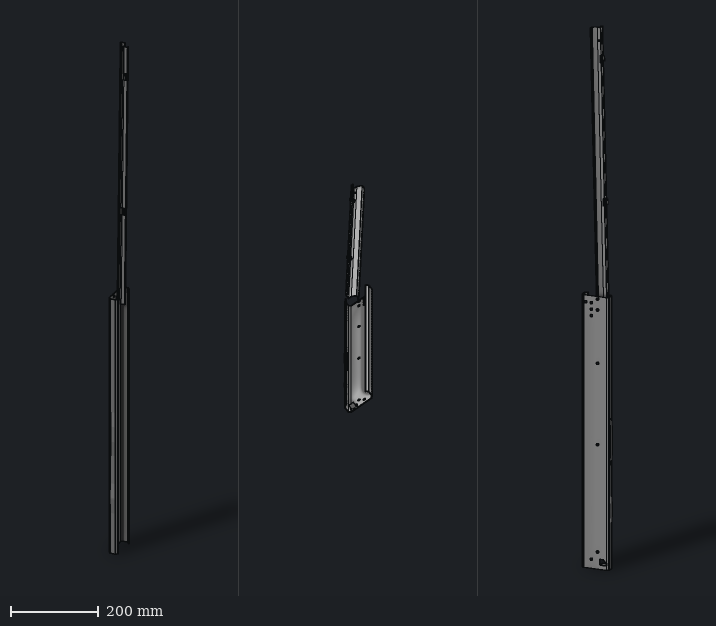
import cadquery as cq
import math

TOTAL_HEIGHT = 1285.0
RAIL_LENGTH = 650.0
SHEET = 1.9

OUTER_DEPTH = 23.0
OVERALL_WIDTH = 71.0
BUMP_RISE = 1.8
HALF_WIDTH = (OVERALL_WIDTH - BUMP_RISE) / 2
CORNER_X = 4.5
CORNER_Y = 5.0
LIP_SLOPE = 5.0
LIP_END_Y = 27.0

SCREW_HOLE = 5.8
HOLE_ROW_Y = -6.0
HOLE_ROW_Z = [644.0, 618.0, 491.0, 297.0, 41.0]
SIDE_ROW_Y = 9.0
SIDE_ROW_Z = [634.0, 618.0, 603.0, 22.0]
EDGE_HOLE_Y = 23.0
EDGE_HOLE_Z = 634.0

WINDOW_Y = -12.0
WINDOW_WIDTH = 18.0
WINDOW_Z = 12.0
WINDOW_HEIGHT = 13.0
WINDOW_CHAMFER = 9.0
TAB_Y = -19.0
TAB_WIDTH = 13.0
TAB_REACH = 14.0

BUMPS = [(8.0, 306.0, 110.0, 39.0), (CORNER_X, 141.0, 76.0, 4.0)]

TILT = 1.4
INNER_LEFT = 8.0
INNER_RIGHT = 35.0
WEB_X = 23.0
FLANGE_Y = -4.0
WEB_TOP = 5.0
WEB_BEND_RADIUS = 6.0
SHELF_TOP = 17.0
SHELF_Y = SHELF_TOP - SHEET
HOOK_CORNER = 1.0
SHELF_RIGHT = 18.0
HOOK_END_Y = 12.2
EDGE_LIP = 5.0

SLOT_DROPS = [76.0, 416.0]
SLOT_LENGTH = 17.0
SLOT_WIDTH = 8.4
LANCE_LENGTH = 12.0
LANCE_THICKNESS = 1.5
LANCE_RISE = 4.0
TIP_HOLE = 4.0
TIP_HOLE_DROP = 32.0


def bent_sheet(path, length):
    """Extrude sheet metal along Z; the sheet lies to the left of the given face path."""
    directions = []
    for (x0, y0), (x1, y1) in zip(path, path[1:]):
        directions.append(math.atan2(y1 - y0, x1 - x0))
    before = directions[:1] + directions
    after = directions + directions[-1:]
    other_face = []
    for (x, y), a, b in zip(path, before, after):
        turn = math.remainder(b - a, math.tau)
        normal = a + turn / 2 + math.pi / 2
        reach = SHEET / math.cos(turn / 2)
        other_face.append((x + reach * math.cos(normal), y + reach * math.sin(normal)))
    return cq.Workplane("XY").polyline(path + other_face[::-1]).close().extrude(length)


def box(x, y, z, dx, dy, dz):
    """Box from its lowest corner and its sizes."""
    return cq.Workplane("XY").box(dx, dy, dz, centered=False).translate((x, y, z))


def web_holes(points, diameter, x_start):
    """Round cutters along X through a web of sheet thickness whose -X face is at x_start."""
    plane = cq.Workplane("YZ", origin=(x_start - SHEET, 0, 0))
    return plane.pushPoints(points).circle(diameter / 2).extrude(3 * SHEET)


def outer_section():
    """Outside face of the C section, from the lip end at +Y round to the one at -Y."""
    upper = [
        (OUTER_DEPTH, LIP_END_Y),
        (OUTER_DEPTH, HALF_WIDTH - LIP_SLOPE),
        (OUTER_DEPTH - LIP_SLOPE, HALF_WIDTH),
        (CORNER_X, HALF_WIDTH),
        (0, HALF_WIDTH - CORNER_Y),
    ]
    lower = [(x, -y) for x, y in reversed(upper)]
    return upper + lower


def stop_window():
    """Cutter for the window, with its outer top corner cut off."""
    far_y = WINDOW_Y - WINDOW_WIDTH
    top = WINDOW_Z + WINDOW_HEIGHT
    outline = [
        (WINDOW_Y, WINDOW_Z),
        (WINDOW_Y, top),
        (far_y + WINDOW_CHAMFER, top),
        (far_y, top - WINDOW_CHAMFER),
        (far_y, WINDOW_Z),
    ]
    return cq.Workplane("YZ", origin=(-SHEET, 0, 0)).polyline(outline).close().extrude(3 * SHEET)


def flange_bump(left, middle, length, flat):
    """Trapezoid pad that stands out from the -Y flange."""
    outline = [
        (-HALF_WIDTH + SHEET / 2, middle - length / 2),
        (-HALF_WIDTH, middle - length / 2),
        (-HALF_WIDTH - BUMP_RISE, middle - flat / 2),
        (-HALF_WIDTH - BUMP_RISE, middle + flat / 2),
        (-HALF_WIDTH, middle + length / 2),
        (-HALF_WIDTH + SHEET / 2, middle + length / 2),
    ]
    width = OUTER_DEPTH - LIP_SLOPE - left
    return cq.Workplane("YZ", origin=(left, 0, 0)).polyline(outline).close().extrude(width)


def make_outer_rail():
    rail = bent_sheet(outer_section(), RAIL_LENGTH)

    hole_points = [(HOLE_ROW_Y, z) for z in HOLE_ROW_Z]
    hole_points += [(SIDE_ROW_Y, z) for z in SIDE_ROW_Z]
    hole_points.append((EDGE_HOLE_Y, EDGE_HOLE_Z))
    rail = rail.cut(web_holes(hole_points, SCREW_HOLE, 0))

    rail = rail.cut(stop_window())
    stop_tab = box(0, TAB_Y - TAB_WIDTH / 2, WINDOW_Z - SHEET, TAB_REACH, TAB_WIDTH, SHEET)
    rail = rail.union(stop_tab)

    for left, middle, length, flat in BUMPS:
        rail = rail.union(flange_bump(left, middle, length, flat))
    return rail


def make_inner_rail():
    """Built upright below Z = 0, then leaned about its top -Y edge and lifted into place."""
    section = [
        (INNER_LEFT + SHEET, HOOK_END_Y),
        (INNER_LEFT + SHEET, SHELF_Y - HOOK_CORNER),
        (INNER_LEFT + SHEET + HOOK_CORNER, SHELF_Y),
        (SHELF_RIGHT, SHELF_Y),
        (WEB_X, WEB_TOP),
        (WEB_X, FLANGE_Y),
        (INNER_RIGHT, FLANGE_Y),
        (INNER_RIGHT, FLANGE_Y + EDGE_LIP),
    ]
    rail = bent_sheet(section, -RAIL_LENGTH)

    web_bend = cq.NearestToPointSelector((WEB_X, WEB_TOP, -RAIL_LENGTH / 2))
    rail = rail.edges("|Z").edges(web_bend).fillet(WEB_BEND_RADIUS)

    for drop in SLOT_DROPS:
        slot_z = -drop - SLOT_LENGTH / 2
        slot = box(WEB_X, FLANGE_Y - SHEET, slot_z, SLOT_WIDTH, 3 * SHEET, SLOT_LENGTH)
        lance_x = WEB_X + SLOT_WIDTH
        lance_y = FLANGE_Y - LANCE_RISE
        lance_z = -drop - LANCE_LENGTH / 2
        lance = box(lance_x, lance_y, lance_z, LANCE_THICKNESS, LANCE_RISE + SHEET, LANCE_LENGTH)
        rail = rail.cut(slot).union(lance)

    hole_y = (WEB_TOP + FLANGE_Y + SHEET) / 2
    rail = rail.cut(web_holes([(hole_y, -TIP_HOLE_DROP)], TIP_HOLE, WEB_X))

    rail = rail.rotate((0, FLANGE_Y, 0), (1, FLANGE_Y, 0), -TILT)
    return rail.translate((0, 0, TOTAL_HEIGHT))


outer_rail = make_outer_rail()
inner_rail = make_inner_rail()

result = cq.Compound.makeCompound([outer_rail.val(), inner_rail.val()])